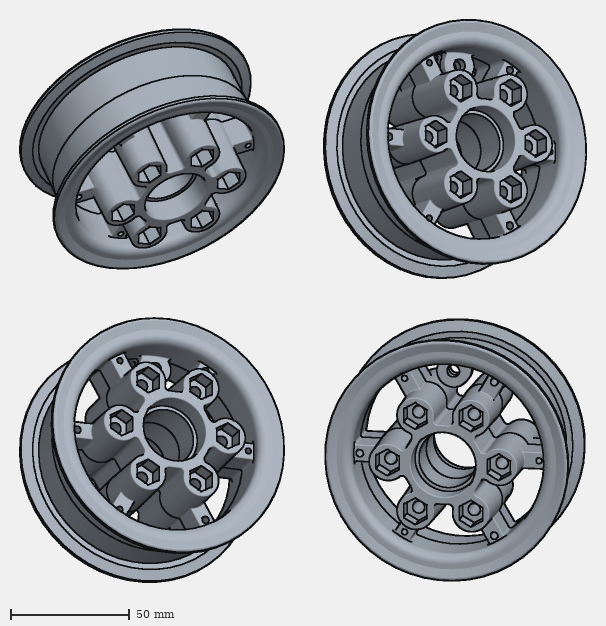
import cadquery as cq
import math

spoke_count = 6
draft_angle = 1.0
draft = math.tan(math.radians(draft_angle))
edge_round = 0.5

wheel_radius = 52.1
lip_radius = 50.6
dish_radius = 47.1
flange_back_radius = 47.4
barrel_radius = 45.0
bore_radius = 40.7
rim_half_width = 20.9
crest_outer = 20.0
crest_inner = 18.5
flange_face = 19.8
flange_back = 17.0
bead_round = 4.0

hub_half_width = 27.8
boss_pitch_radius = 23.9
boss_radius = 8.4
web_apothem = 17.6
web_fillet = 1.4
bolt_radius = 2.6
nut_flats = 10.0
nut_depth = 8.0
bearing_radius = 14.0
bearing_depth = 10.6
axle_radius = 12.3

spoke_half_width = 3.9
spoke_depth = 13.1
screw_pitch_radius = 38.4
clearance_radius = 1.6
pilot_radius = 1.3
corner_fillet = 1.0

valve_height = 35.2
valve_radius = 7.2
valve_depth = 4.2
valve_hole_radius = 2.6

spoke_step = 360.0 / spoke_count
spoke_angles = [i * spoke_step for i in range(spoke_count)]
embed = (barrel_radius - bore_radius) / 2
tolerance = 0.0001


def polar(radius, angle):
    """Point in the YZ plane; the angle runs from +Y towards +Z, in degrees."""
    turn = math.radians(angle)
    return (radius * math.cos(turn), radius * math.sin(turn))


boss_centres = [polar(boss_pitch_radius, angle) for angle in spoke_angles]


def rim():
    bead_x = flange_face - bead_round
    bead_r = bore_radius + draft * bead_x
    arc_reach = bead_round * math.sqrt(0.5)
    bead_mid = (bead_x + arc_reach, bead_r + bead_round - arc_reach)
    lip_bulge = math.sqrt(0.5)
    lip_mid = (
        crest_outer + lip_bulge * (rim_half_width - crest_outer),
        lip_radius + lip_bulge * (wheel_radius - lip_radius),
    )
    return (
        cq.Workplane("XZ")
        .moveTo(0, bore_radius)
        .lineTo(0, barrel_radius)
        .lineTo(flange_back, barrel_radius - draft * flange_back)
        .lineTo(flange_back, flange_back_radius)
        .lineTo(crest_inner, wheel_radius)
        .lineTo(crest_outer, wheel_radius)
        .threePointArc(lip_mid, (rim_half_width, lip_radius))
        .lineTo(flange_face, dish_radius)
        .lineTo(flange_face, bead_r + bead_round)
        .threePointArc(bead_mid, (bead_x, bead_r))
        .close()
        .revolve(360, (0, 0, 0), (1, 0, 0))
    )


def hub_outline():
    """Bosses joined by flats, with a fillet on both sides of each flat."""
    half_step = math.radians(spoke_step / 2)
    boss_out = boss_pitch_radius * math.cos(half_step)
    boss_side = boss_pitch_radius * math.sin(half_step)
    fillet_out = web_apothem + web_fillet
    reach = boss_radius + web_fillet
    fillet_side = boss_side - math.sqrt(reach**2 - (boss_out - fillet_out) ** 2)
    share = boss_radius / reach
    touch_out = boss_out + share * (fillet_out - boss_out)
    touch_side = boss_side + share * (fillet_side - boss_side)
    aim_out = (touch_out - fillet_out) / web_fillet - 1
    aim_side = (touch_side - fillet_side) / web_fillet
    aim = math.hypot(aim_out, aim_side)
    mid_out = fillet_out + web_fillet * aim_out / aim
    mid_side = fillet_side + web_fillet * aim_side / aim

    def place(out, side, angle):
        """Point at `out` along the middle of a flat and `side` across it."""
        return polar(math.hypot(out, side), angle + math.degrees(math.atan2(side, out)))

    outline = cq.Workplane("YZ").moveTo(*place(web_apothem, -fillet_side, spoke_step / 2))
    for angle in spoke_angles:
        flat = angle + spoke_step / 2
        next_flat = flat + spoke_step
        boss_tip = polar(boss_pitch_radius + boss_radius, angle + spoke_step)
        outline = (
            outline.lineTo(*place(web_apothem, fillet_side, flat))
            .threePointArc(place(mid_out, mid_side, flat), place(touch_out, touch_side, flat))
            .threePointArc(boss_tip, place(touch_out, -touch_side, next_flat))
            .threePointArc(
                place(mid_out, -mid_side, next_flat),
                place(web_apothem, -fillet_side, next_flat),
            )
        )
    return outline.close()


def hub():
    body = hub_outline().extrude(hub_half_width, taper=draft_angle)
    return body.faces(">X").edges().fillet(edge_round)


def spoke(angle):
    length = bore_radius + embed - boss_pitch_radius
    return (
        cq.Workplane("YZ")
        .center(boss_pitch_radius + length / 2, 0)
        .rect(length, 2 * spoke_half_width)
        .extrude(spoke_depth, taper=draft_angle)
        .rotate((0, 0, 0), (1, 0, 0), angle)
    )


def valve_boss():
    return (
        cq.Workplane("YZ")
        .center(0, valve_height)
        .circle(valve_radius)
        .extrude(valve_depth, taper=draft_angle)
    )


def off_axis(point):
    return math.hypot(point.y, point.z)


def runs_along_bore(edge):
    """True for the axial edges where a spoke or the valve boss meets the bore of the rim."""
    start = edge.startPoint()
    end = edge.endPoint()
    is_axial = abs(end.x - start.x) > valve_depth / 2
    on_bore = all(abs(off_axis(point) - bore_radius) < embed / 2 for point in (start, end))
    return is_axial and on_bore and max(start.x, end.x) < spoke_depth + tolerance


def lies_at(depth):
    """Filter for the edges that lie in the plane X = depth."""
    def test(edge):
        box = edge.BoundingBox()
        return abs(box.xmin - depth) < tolerance and abs(box.xmax - depth) < tolerance
    return test


def is_straight(edge):
    return edge.geomType() == "LINE"


def borders_boss(edge):
    """Curved edges nearer to the bolt bosses than to the rim."""
    halfway = (boss_pitch_radius + boss_radius + bore_radius) / 2
    return not is_straight(edge) and off_axis(edge.Center()) < halfway


def spoked_rim():
    body = rim().union(valve_boss())
    for angle in spoke_angles:
        body = body.union(spoke(angle))
    body = body.edges().filter(runs_along_bore).fillet(corner_fillet)
    body = body.union(hub())
    at_face = lies_at(spoke_depth)
    body = body.edges().filter(at_face).filter(is_straight).fillet(edge_round)
    body = body.edges().filter(at_face).filter(borders_boss).fillet(edge_round)
    return body.edges().filter(lies_at(valve_depth)).fillet(edge_round)


def bores(radius, points, start, depth):
    """Round holes along +X, from X = start."""
    return cq.Workplane("YZ", origin=(start, 0, 0)).pushPoints(points).circle(radius).extrude(depth)


def nut_pockets():
    """Hexagonal pockets with a corner towards +Z and -Z."""
    corner_radius = nut_flats / 2 / math.cos(math.pi / 6)
    corners = [polar(corner_radius, 90 + 60 * i) for i in range(6)]
    pocket = cq.Workplane("YZ").polyline(corners).close().extrude(nut_depth).val()
    floor = hub_half_width - nut_depth
    return [pocket.translate(cq.Vector(floor, y, z)) for y, z in boss_centres]


def bearing_seat():
    """Round recess for a bearing, with a rounded mouth."""
    floor = hub_half_width - bearing_depth
    mouth_start = hub_half_width - edge_round
    return (
        cq.Workplane("XZ")
        .moveTo(floor, 0)
        .lineTo(floor, bearing_radius)
        .lineTo(mouth_start, bearing_radius)
        .radiusArc((hub_half_width, bearing_radius + edge_round), -edge_round)
        .lineTo(hub_half_width, 0)
        .close()
        .revolve(360, (0, 0, 0), (1, 0, 0))
    )


def wheel_half():
    body = spoked_rim()
    body = body.cut(bores(bolt_radius, boss_centres, 0, hub_half_width))
    for pocket in nut_pockets():
        body = body.cut(cq.Workplane(pocket))
    screw_points = [polar(screw_pitch_radius, angle) for angle in spoke_angles]
    body = body.cut(bores(pilot_radius, screw_points[0::2], 0, spoke_depth))
    body = body.cut(bores(clearance_radius, screw_points[1::2], 0, spoke_depth))
    body = body.cut(bores(axle_radius, [(0, 0)], 0, hub_half_width))
    body = body.cut(bearing_seat())
    return body.cut(bores(valve_hole_radius, [(0, valve_height)], 0, valve_depth))


right_half = wheel_half()
left_half = right_half.rotate((0, 0, 0), (0, 0, 1), 180)
result = cq.Compound.makeCompound([right_half.val(), left_half.val()])